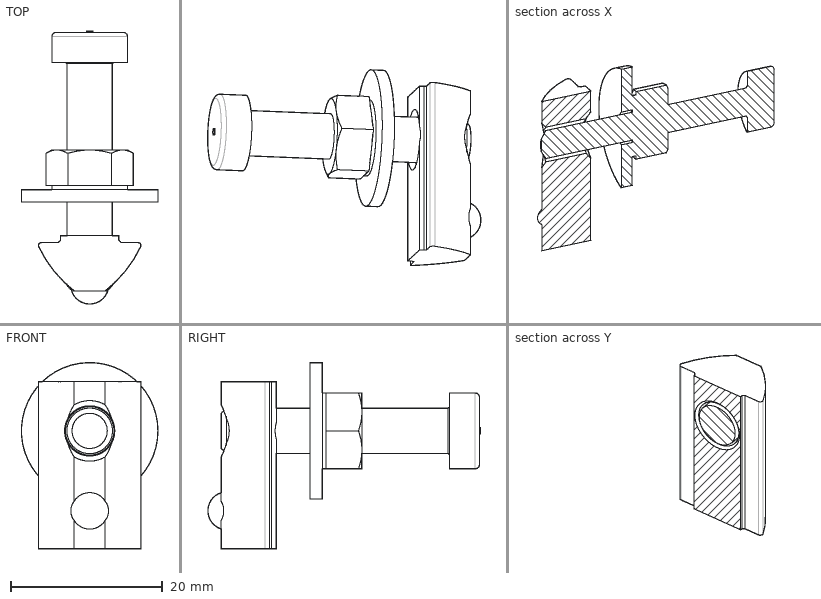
import cadquery as cq
import math


NUT_FRONT_Y = 1.75
SHOULDER_Y = 8.12
NUT_BACK_Y = 9.02
FACE_HALF_WIDTH = 2.05
FLANK_MID_X = 4.95
FLANK_MID_Y = 4.67
SHOULDER_HALF_WIDTH = 6.97
SHOULDER_ROUND = 0.4
NECK_HALF_WIDTH = 3.85
NECK_ROOT_CHAMFER = 0.3
NUT_TOP_Z = 6.47
NUT_LENGTH = 22.0
HOLE_RADIUS = 3.3
COUNTERSINK_RADIUS = 4.0
BALL_RADIUS = 2.5
BALL_Z = -10.55

SHANK_DIAMETER = 6.0
SHANK_RADIUS = SHANK_DIAMETER / 2
TIP_CHAMFER = 0.7
UNDERHEAD_Y = 31.8
UNDERHEAD_FLARE = 0.15
HEAD_RADIUS = 5.0
HEAD_TOP_Y = 35.8
HEAD_ROUND = 0.58
PIP_RADIUS = 0.43
SCREW_END_Y = 35.95

FLANGE_DIAMETER = 18.0
FLANGE_HOLE_RADIUS = 3.2
FLANGE_FRONT_Y = 13.45
FLANGE_BACK_Y = 15.1
HEX_FRONT_Y = 15.6
HEX_BACK_Y = 20.3
HEX_HALF_FLATS = HEAD_RADIUS
HEX_BEVEL_ANGLE = 30
HEX_SIDES = 6


def revolve_about_y(points):
    """Turn a closed outline of (radius, y) points about the Y axis."""
    return cq.Workplane("XY").polyline(points).close().revolve(360, (0, 0), (0, 1))


def disc(radius, y_start, y_end):
    """Solid cylinder on the Y axis."""
    return revolve_about_y([(0, y_start), (radius, y_start), (radius, y_end), (0, y_end)])


def slot_nut_block():
    """Arrow-shaped section with curved flanks, extruded along Z."""
    block = (
        cq.Workplane("XY")
        .workplane(offset=NUT_TOP_Z - NUT_LENGTH)
        .moveTo(-FACE_HALF_WIDTH, NUT_FRONT_Y)
        .lineTo(FACE_HALF_WIDTH, NUT_FRONT_Y)
        .threePointArc((FLANK_MID_X, FLANK_MID_Y), (SHOULDER_HALF_WIDTH, SHOULDER_Y))
        .lineTo(NECK_HALF_WIDTH, SHOULDER_Y)
        .lineTo(NECK_HALF_WIDTH, NUT_BACK_Y)
        .lineTo(-NECK_HALF_WIDTH, NUT_BACK_Y)
        .lineTo(-NECK_HALF_WIDTH, SHOULDER_Y)
        .lineTo(-SHOULDER_HALF_WIDTH, SHOULDER_Y)
        .threePointArc((-FLANK_MID_X, FLANK_MID_Y), (-FACE_HALF_WIDTH, NUT_FRONT_Y))
        .close()
        .extrude(NUT_LENGTH)
    )
    mid_z = NUT_TOP_Z - NUT_LENGTH / 2
    for side in (-1, 1):
        shoulder_corner = (side * SHOULDER_HALF_WIDTH, SHOULDER_Y, mid_z)
        block = block.edges(cq.selectors.NearestToPointSelector(shoulder_corner)).fillet(SHOULDER_ROUND)
        neck_root = (side * NECK_HALF_WIDTH, SHOULDER_Y, mid_z)
        block = block.edges(cq.selectors.NearestToPointSelector(neck_root)).chamfer(NECK_ROOT_CHAMFER)
    return block


def clearance_hole():
    """Through hole with a 45 degree countersink at both ends."""
    depth = COUNTERSINK_RADIUS - HOLE_RADIUS
    return revolve_about_y([
        (0, NUT_FRONT_Y),
        (COUNTERSINK_RADIUS, NUT_FRONT_Y),
        (HOLE_RADIUS, NUT_FRONT_Y + depth),
        (HOLE_RADIUS, NUT_BACK_Y - depth),
        (COUNTERSINK_RADIUS, NUT_BACK_Y),
        (0, NUT_BACK_Y),
    ])


def make_slot_nut():
    ball = cq.Workplane("XY").sphere(BALL_RADIUS).translate((0, BALL_RADIUS, BALL_Z))
    return slot_nut_block().cut(clearance_hole()).union(ball)


def screw_shank():
    """Shank with a chamfered tip and a flare under the head."""
    return revolve_about_y([
        (0, NUT_FRONT_Y),
        (SHANK_RADIUS - TIP_CHAMFER, NUT_FRONT_Y),
        (SHANK_RADIUS, NUT_FRONT_Y + TIP_CHAMFER),
        (SHANK_RADIUS, UNDERHEAD_Y - UNDERHEAD_FLARE),
        (SHANK_RADIUS + UNDERHEAD_FLARE, UNDERHEAD_Y),
        (0, UNDERHEAD_Y),
    ])


def screw_head():
    """Round head with a rounded rim and a small raised pip at its centre."""
    head = disc(HEAD_RADIUS, UNDERHEAD_Y, HEAD_TOP_Y).edges(">Y").fillet(HEAD_ROUND)
    return head.union(disc(PIP_RADIUS, HEAD_TOP_Y, SCREW_END_Y))


def hex_collar():
    """Hexagon with corners on X, its back corners bevelled by a cone."""
    corner_radius = HEX_HALF_FLATS / math.cos(math.radians(180 / HEX_SIDES))
    prism = (
        cq.Workplane("XZ", origin=(0, HEX_BACK_Y, 0))
        .polygon(HEX_SIDES, 2 * corner_radius)
        .extrude(HEX_BACK_Y - HEX_FRONT_Y)
    )
    bevel_depth = (corner_radius - HEX_HALF_FLATS) * math.tan(math.radians(HEX_BEVEL_ANGLE))
    bevel_envelope = revolve_about_y([
        (0, HEX_FRONT_Y),
        (corner_radius, HEX_FRONT_Y),
        (corner_radius, HEX_BACK_Y - bevel_depth),
        (HEX_HALF_FLATS, HEX_BACK_Y),
        (0, HEX_BACK_Y),
    ])
    return prism.intersect(bevel_envelope)


def make_screw():
    """Screw carrying its hexagon, a round step, and a flange that clears the shank."""
    step = disc(HEX_HALF_FLATS, FLANGE_BACK_Y, HEX_FRONT_Y)
    flange = disc(FLANGE_DIAMETER / 2, FLANGE_FRONT_Y, FLANGE_BACK_Y)
    clearance = disc(FLANGE_HOLE_RADIUS, FLANGE_FRONT_Y, FLANGE_BACK_Y)
    collar = flange.cut(clearance).union(step).union(hex_collar())
    return screw_shank().union(screw_head()).union(collar)


slot_nut = make_slot_nut()
screw = make_screw()

result = cq.Compound.makeCompound([slot_nut.solids().val(), screw.solids().val()])